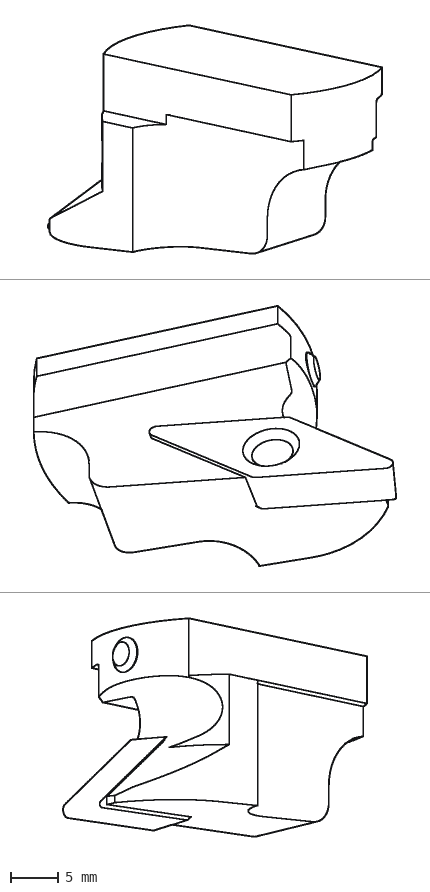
import cadquery as cq
import math


head_radius = 14.95
head_back = 7.0
head_front = -7.65
flange_depth = 2.95
shank_back = 4.98
shank_front = -6.37
shank_top = -5.15
block_front = -11.0
block_top = -6.2
flange_fillet = 0.4

shank_end_x = 8.55
cove_radius = 6.35
cove_top = -8.2
heel_radius = 2.45
underside_angle = 4.7
nose_flat_z = -21.1
nose_flat_x = -21.75

nose_radius = 12.05
nose_tangent_x = -11.8
relief_radius = 5.45
relief_x = -0.75
block_end_x = -6.05

shoulder_z = -13.85
shoulder_angle = 39.5

boss_base_diameter = 3.75
boss_tip_diameter = 2.55
boss_z = -3.0
boss_height = 0.6

tip_x = -23.9
rake_angle = 6.7
rake_top = -7.07
rake_depth = 0.55
rake_fillet = 0.3

scoop_u = 7.93
scoop_z = -9.8
scoop_radius = 4.0
flat_angle = 39.5

insert_edge = 16.6
insert_point_angle = 35.0
insert_thickness = 4.75
insert_corner = 0.78
insert_relief = 5.0
insert_bottom = -22.0
hole_diameter = 4.4
hole_mouth_diameter = 6.05

reach = 58.3


def slope(degrees):
    return math.tan(math.radians(degrees))


def polar(length, degrees):
    angle = math.radians(degrees)
    return length * math.cos(angle), length * math.sin(angle)


def box_between(low, high):
    size = [b - a for a, b in zip(low, high)]
    return cq.Workplane("XY").box(*size, centered=False).translate(low)


def to_rake_frame(shape):
    """Turn a shape built with its rake face on y = 0 about the cutting tip."""
    return shape.rotate((0, 0, 0), (0, 0, 1), rake_angle).translate((tip_x, 0, 0))


def underside_z(x):
    return nose_flat_z + (x - nose_flat_x) * slope(underside_angle)


def make_head():
    """Round-ended slab, with a thinner flange along the back."""
    disc = cq.Workplane("XY").circle(head_radius).extrude(-reach)
    upper = disc.intersect(box_between((-reach, shank_back, -flange_depth), (reach, head_back, 0)))
    middle = disc.intersect(box_between((-reach, head_front, shank_top), (reach, shank_back, 0)))
    slab = middle.union(upper)
    inner_corner = cq.selectors.NearestToPointSelector((0, shank_back, -flange_depth))
    return slab.edges("|X").edges(inner_corner).fillet(flange_fillet)


def make_shoulder_envelope():
    """Round column under the head that opens out as a cone towards the nose."""
    outer = head_radius + (shoulder_z + reach) / slope(shoulder_angle)
    profile = [(0, 0), (head_radius, 0), (head_radius, shoulder_z), (outer, -reach), (0, -reach)]
    return cq.Workplane("XZ").polyline(profile).close().revolve(360, (0, 0), (0, 1))


def make_plan():
    """Plan outline: rounded nose, projecting block, concave relief, narrow shank."""
    nose_x = nose_tangent_x - nose_radius
    nose_y = block_front + nose_radius
    mid_x, mid_y = polar(nose_radius, 225)
    relief_y = shank_front - relief_radius
    start_y = relief_y + math.sqrt(relief_radius**2 - (block_end_x - relief_x) ** 2)
    relief_start_angle = math.degrees(math.atan2(start_y - relief_y, block_end_x - relief_x))
    dx, dy = polar(relief_radius, (relief_start_angle + 90) / 2)
    return (
        cq.Workplane("XY")
        .moveTo(nose_x, shank_back)
        .lineTo(nose_x, nose_y)
        .threePointArc((nose_tangent_x + mid_x, nose_y + mid_y), (nose_tangent_x, block_front))
        .lineTo(block_end_x, block_front)
        .lineTo(block_end_x, start_y)
        .threePointArc((relief_x + dx, relief_y + dy), (relief_x, shank_front))
        .lineTo(head_radius, shank_front)
        .lineTo(head_radius, shank_back)
        .close()
        .extrude(-reach)
    )


def make_side():
    """Side outline: sloping underside, rounded heel and the rear cove."""
    cove_z = cove_top - cove_radius
    cove_x = shank_end_x + cove_radius
    dx, dz = polar(cove_radius, 135)
    return (
        cq.Workplane("XZ", origin=(0, reach, 0))
        .moveTo(-reach, 0)
        .lineTo(-reach, underside_z(-reach))
        .lineTo(shank_end_x, underside_z(shank_end_x))
        .lineTo(shank_end_x, cove_z)
        .threePointArc((cove_x + dx, cove_z + dz), (cove_x, cove_top))
        .lineTo(reach, cove_top)
        .lineTo(reach, 0)
        .close()
        .extrude(2 * reach)
        .edges(cq.selectors.NearestToPointSelector((shank_end_x, 0, underside_z(shank_end_x))))
        .fillet(heel_radius)
    )


def make_shank():
    shank = make_plan().intersect(make_side()).intersect(make_shoulder_envelope())
    above_block = box_between((-reach, -reach, block_top), (reach, head_front, 0))
    beyond_nose_flat = box_between((-reach, -reach, -reach), (nose_flat_x, reach, 0))
    return shank.cut(above_block).cut(beyond_nose_flat)


def make_boss():
    base_radius = boss_base_diameter / 2
    tip_radius = boss_tip_diameter / 2
    tip = -head_radius - boss_height
    profile = [(0, 0), (tip, 0), (tip, tip_radius), (-head_radius, base_radius), (0, base_radius)]
    boss = cq.Workplane("XZ").polyline(profile).close().revolve(360, (0, 0), (1, 0))
    return boss.translate((0, 0, boss_z))


def make_scoop():
    """Round chip scoop that runs tangentially into the sloping flat."""
    dx, dz = polar(scoop_radius, flat_angle - 90)
    flat_x, flat_z = scoop_u + dx, scoop_z + dz
    run_x, run_z = polar(reach, flat_angle + 180)
    scoop = (
        cq.Workplane("XZ", origin=(0, reach, 0))
        .moveTo(scoop_u, scoop_z + scoop_radius)
        .threePointArc((scoop_u + scoop_radius, scoop_z), (flat_x, flat_z))
        .lineTo(flat_x + run_x, flat_z + run_z)
        .lineTo(flat_x + run_x, scoop_z + scoop_radius)
        .close()
        .extrude(2 * reach)
    )
    return to_rake_frame(scoop)


def make_rake_cut():
    """Clearance behind the rake plane, with a rounded inner corner under the head."""
    clearance = box_between((-reach, -rake_depth, -reach), (reach, reach, rake_top))
    inner_corner = cq.selectors.NearestToPointSelector((0, -rake_depth, rake_top))
    return to_rake_frame(clearance.edges(inner_corner).fillet(rake_fillet))


def insert_point():
    """Sharp point of the rhombus, set so that its rounded nose touches the tip and the bottom."""
    half_angle = insert_point_angle / 2
    center_distance = insert_corner / math.sin(math.radians(half_angle))
    center_dx, center_dz = polar(center_distance, underside_angle + half_angle)
    return insert_corner - center_dx, insert_bottom + insert_corner - center_dz


def make_insert_blank():
    """Rhombus with rounded corners, narrowing away from the rake face."""
    point = insert_point()
    low = polar(insert_edge, underside_angle)
    high = polar(insert_edge, underside_angle + insert_point_angle)
    corners = [(0, 0), low, (low[0] + high[0], low[1] + high[1]), high]
    sketch = cq.Sketch().polygon(corners + corners[:1]).vertices().fillet(insert_corner)
    blank = cq.Workplane("XZ", origin=(point[0], 0, point[1])).placeSketch(sketch)
    return blank.extrude(insert_thickness, taper=insert_relief)


def make_insert_hole():
    """Through hole at the rhombus center, with a 45 degree countersink at the rake face."""
    half_angle = insert_point_angle / 2
    half_diagonal = insert_edge * math.cos(math.radians(half_angle))
    center_dx, center_dz = polar(half_diagonal, underside_angle + half_angle)
    point_x, point_z = insert_point()
    radius = hole_diameter / 2
    mouth = hole_mouth_diameter / 2
    sink = mouth - radius
    profile = [(0, 0), (mouth, 0), (radius, -sink), (radius, -insert_thickness), (0, -insert_thickness)]
    hole = cq.Workplane("XY").polyline(profile).close().revolve(360, (0, 0), (0, 1))
    return hole.translate((point_x + center_dx, 0, point_z + center_dz))


blank = make_insert_blank()
insert = to_rake_frame(blank.cut(make_insert_hole()))

holder = make_head().union(make_shank())
holder = holder.cut(make_scoop()).cut(make_rake_cut()).cut(to_rake_frame(blank)).union(make_boss())

result = cq.Compound.makeCompound([holder.val(), insert.val()])